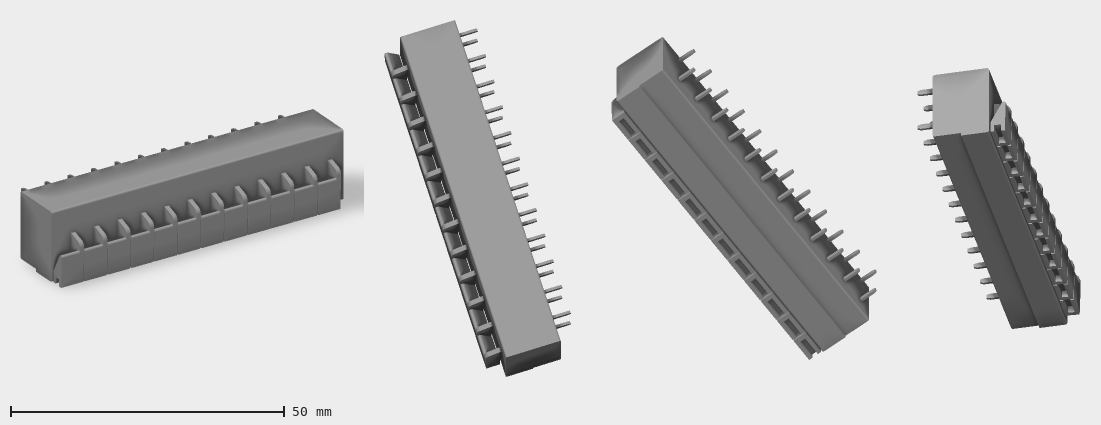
import cadquery as cq
import math

length = 63.5
height = 14.2
housing_back_x = 3.4
housing_front_x = 14.0
ledge_back_x = 8.75
ledge_drop = 0.6
edge_radius = 0.4

pole_count = 12
pole_pitch = 5.1
first_pole_y = 2.6

pin_width = 0.5
pin_height = 1.0
pin_taper_length = 0.7
pin_taper_inset = 0.2
pin_overlap = 0.65
pin_drops = (1.8, 9.4)

lever_front_x = 17.1
lever_length = 4.8
lever_back_x = 14.2
lever_back_z = 0.1
lever_foot_x = 16.9
wedge_top_z = 6.5
wedge_angle = math.radians(62)
nose_radius = 0.4
rib_width = 0.9
rib_joint_z = 3.25
rib_top_z = 8.95
rib_flat_end_x = 14.35
rib_corner_z = 8.0
rib_corner_radius = 1.15

slot_min_x = 14.9
slot_max_x = 16.2
slot_top_z = 1.45


def extrude_along_y(profile, start_y, distance):
    """Extrude an XZ profile towards +Y from start_y."""
    return profile.extrude(-distance).translate((0, start_y, 0))


def make_housing():
    block = cq.Workplane("XY").box(
        housing_front_x - housing_back_x, length, height - ledge_drop, centered=False
    ).translate((housing_back_x, 0, ledge_drop))
    block = block.edges("|Y and (>Z or <X)").fillet(edge_radius)
    ledge = cq.Workplane("XY").box(
        housing_front_x - ledge_back_x, length, 2 * ledge_drop, centered=False
    ).translate((ledge_back_x, 0, 0))
    ledge = ledge.edges("|Y and >X and <Z").fillet(edge_radius)
    return block.union(ledge)


def make_pin():
    """One pin along X with its tip at x = 0, centred on y = 0 and z = 0."""
    half_height = pin_height / 2
    tip_half_height = half_height - pin_taper_inset
    end_x = housing_back_x + pin_overlap
    profile = cq.Workplane("XZ").polyline([
        (0, -tip_half_height),
        (pin_taper_length, -half_height),
        (end_x, -half_height),
        (end_x, half_height),
        (pin_taper_length, half_height),
        (0, tip_half_height),
    ]).close()
    return extrude_along_y(profile, -pin_width / 2, pin_width)


def make_wedge():
    """Sloped lever body; its slope runs tangent into a nose that ends on the +X face."""
    nose_x = lever_front_x - nose_radius
    nose_z = wedge_top_z - nose_radius
    slope_end_x = nose_x - nose_radius * math.sin(wedge_angle)
    slope_end_z = nose_z + nose_radius * math.cos(wedge_angle)
    slope_start_z = slope_end_z - (slope_end_x - lever_back_x) * math.tan(wedge_angle)
    profile = (
        cq.Workplane("XZ")
        .moveTo(lever_back_x, lever_back_z)
        .lineTo(lever_back_x, slope_start_z)
        .lineTo(slope_end_x, slope_end_z)
        .threePointArc((nose_x, wedge_top_z), (lever_front_x, nose_z))
        .lineTo(lever_foot_x, 0)
        .close()
    )
    return extrude_along_y(profile, -lever_length / 2, lever_length)


def make_rib():
    """Tall rib at the +Y edge of a lever, which carries the lever on the housing."""
    profile = cq.Workplane("XZ").polyline([
        (lever_back_x, lever_back_z),
        (lever_back_x, rib_joint_z),
        (housing_front_x, rib_joint_z),
        (housing_front_x, rib_top_z),
        (rib_flat_end_x, rib_top_z),
        (lever_front_x, rib_corner_z),
        (lever_front_x, wedge_top_z - nose_radius),
        (lever_foot_x, 0),
    ]).close()
    rib_start_y = lever_length / 2 - rib_width
    rib = extrude_along_y(profile, rib_start_y, rib_width)
    corner = cq.selectors.NearestToPointSelector(
        (lever_front_x, rib_start_y + rib_width / 2, rib_corner_z)
    )
    return rib.edges(corner).fillet(rib_corner_radius)


def make_lever():
    """One lever centred on y = 0."""
    slot = cq.Workplane("XY").box(
        slot_max_x - slot_min_x, lever_length - rib_width, slot_top_z, centered=False
    ).translate((slot_min_x, -lever_length / 2, 0))
    return make_wedge().union(make_rib()).cut(slot)


result = make_housing()
pin = make_pin()
lever = make_lever()
for pole in range(pole_count):
    pole_y = first_pole_y + pole * pole_pitch
    for drop in pin_drops:
        result = result.union(pin.translate((0, pole_y, height - drop)))
    result = result.union(lever.translate((0, pole_y, 0)))